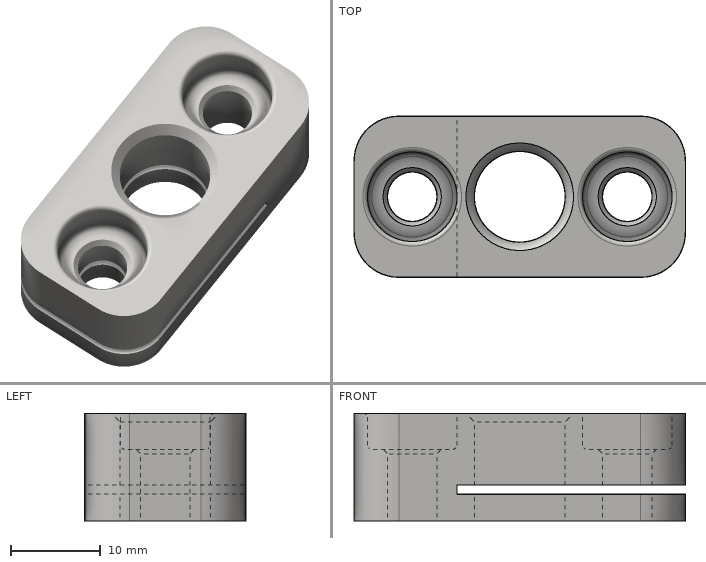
import cadquery as cq

length = 37.0
width = 18.0
height = 12.0
corner_radius = 5.0

bore_diameter = 10.11
bore_mouth_diameter = 12.0
bore_chamfer = (bore_mouth_diameter - bore_diameter) / 2

screw_spacing = 24.0
screw_diameter = 5.5
screw_chamfer = 0.5
head_diameter = 10.0
head_depth = 4.0
head_fillet = 0.5

slot_bottom = 3.0
slot_height = 1.0
slot_start_x = -7.0


def make_block():
    block = cq.Workplane("XY").box(length, width, height, centered=(True, True, False))
    return block.edges("|Z").fillet(corner_radius)


def make_bore_cutter():
    """Central through bore, widening to its mouth at the top face."""
    radius = bore_diameter / 2
    return (
        cq.Workplane("XZ")
        .lineTo(radius, 0)
        .lineTo(radius, height - bore_chamfer)
        .lineTo(bore_mouth_diameter / 2, height)
        .lineTo(0, height)
        .close()
        .revolve(360, (0, 0, 0), (0, 1, 0))
    )


def make_screw_cutter(x):
    """Screw hole with a chamfered mouth, and a head pocket rounded at floor and rim."""
    screw_radius = screw_diameter / 2
    head_radius = head_diameter / 2
    floor_z = height - head_depth
    profile = (
        cq.Workplane("XZ")
        .lineTo(screw_radius, 0)
        .lineTo(screw_radius, floor_z - screw_chamfer)
        .lineTo(screw_radius + screw_chamfer, floor_z)
        .lineTo(head_radius - head_fillet, floor_z)
        .radiusArc((head_radius, floor_z + head_fillet), -head_fillet)
        .lineTo(head_radius, height - head_fillet)
        .radiusArc((head_radius + head_fillet, height), head_fillet)
        .lineTo(0, height)
        .close()
    )
    return profile.revolve(360, (0, 0, 0), (0, 1, 0)).translate((x, 0, 0))


def make_slot_cutter():
    """Slot across the full width, from its closed end out through the +X end."""
    slot_length = length / 2 - slot_start_x
    slot = cq.Workplane("XY").box(slot_length, width, slot_height, centered=(False, True, False))
    return slot.translate((slot_start_x, 0, slot_bottom))


result = make_block().cut(make_bore_cutter())
for side in (-1, 1):
    result = result.cut(make_screw_cutter(side * screw_spacing / 2))
result = result.cut(make_slot_cutter())